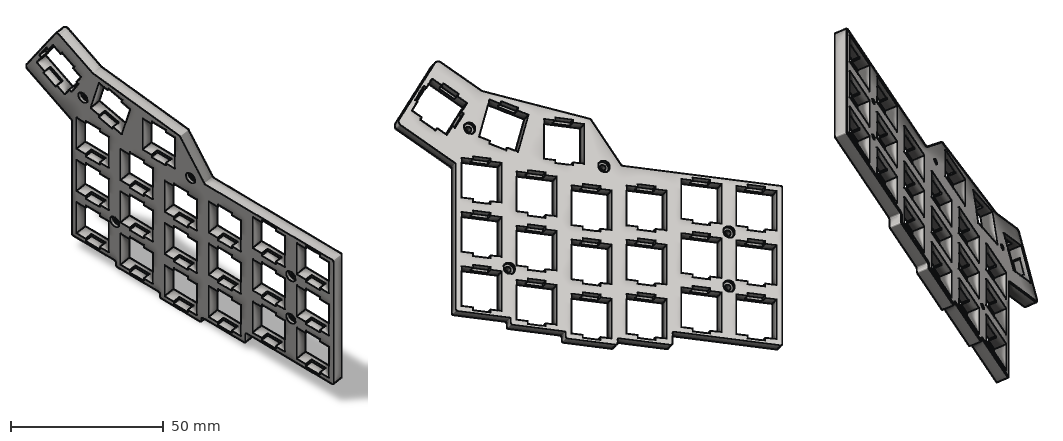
import cadquery as cq
import math

width = 132.9
height = 91.5
thickness = 4.5
back_chamfer = 0.3
corner_radius = 0.7
thumb_corner_radius = 1.5

opening = 14.0
wall = 2.0
key_half = opening / 2 + wall
columns = 6
rows = 3
column_span = 95.1
pitch = column_span / (columns - 1)
stagger = pitch / 8
stagger_steps = [2, 1, 0, 1, 3, 3]
first_column_x = width - key_half - column_span

notch_width = 6.1
notch_bite = 1.0
clip_thickness = 1.6
notch_depth = thickness - clip_thickness

inner_thumb_z = 69.1
middle_thumb = (36.4, 71.9)
middle_thumb_angle = -15
outer_thumb_angle = -30
outer_thumb_half_height = 13.8

upper_bend_x = 28.8
shoulder = (66.5, 78.1)
shoulder_foot_x = 77.2

screw_diameter = 2.0
head_diameter = 4.0
head_depth = 1.3
outer_screw = (24.6, 69.5)
middle_screw = (71.1, 62.0)


def column_x(column):
    return first_column_x + column * pitch


def column_bottom(column):
    return stagger_steps[column] * stagger


def key_z(column, row):
    return column_bottom(column) + key_half + row * pitch


def outer_thumb_center():
    """Centre that makes the rounded outer corners touch X = 0 and the overall height."""
    tilt = math.radians(-outer_thumb_angle)
    across = key_half - thumb_corner_radius
    along = outer_thumb_half_height - thumb_corner_radius
    x = thumb_corner_radius + across * math.cos(tilt) + along * math.sin(tilt)
    z = height - thumb_corner_radius - across * math.sin(tilt) - along * math.cos(tilt)
    return (x, z)


def outer_thumb_point(across, along):
    """Point given in the turned axes of the outer thumb key."""
    angle = math.radians(outer_thumb_angle)
    center_x, center_z = outer_thumb_center()
    x = center_x + across * math.cos(angle) - along * math.sin(angle)
    z = center_z + across * math.sin(angle) + along * math.cos(angle)
    return (x, z)


def thumb_edge_at(x, along):
    """Point at the given X on a long edge of the outer thumb block."""
    slope = math.tan(math.radians(outer_thumb_angle))
    edge_x, edge_z = outer_thumb_point(0, along)
    return (x, edge_z + slope * (x - edge_x))


def front_prism(sketch, depth):
    """Extrude a sketch on the XZ plane from the front face towards +Y."""
    return sketch.extrude(-depth)


def make_plate():
    plate_left = column_x(0) - key_half
    plate_top = key_z(columns - 1, rows - 1) + key_half
    step_1 = column_x(1) - key_half
    step_2 = column_x(2) - key_half
    step_3 = column_x(2) + key_half
    step_4 = column_x(3) + key_half
    outline = [
        (plate_left, column_bottom(0)),
        (step_1, column_bottom(0)),
        (step_1, column_bottom(1)),
        (step_2, column_bottom(1)),
        (step_2, column_bottom(2)),
        (step_3, column_bottom(2)),
        (step_3, column_bottom(3)),
        (step_4, column_bottom(3)),
        (step_4, column_bottom(4)),
        (width, column_bottom(5)),
        (width, plate_top),
        (shoulder_foot_x, plate_top),
        shoulder,
        thumb_edge_at(upper_bend_x, outer_thumb_half_height),
        outer_thumb_point(-key_half, outer_thumb_half_height),
        outer_thumb_point(-key_half, -outer_thumb_half_height),
        thumb_edge_at(plate_left, -outer_thumb_half_height),
    ]
    plate = front_prism(cq.Workplane("XZ").polyline(outline).close(), thickness)
    thumb_tips = "<X or >Z"
    plate = plate.edges(f"|Y exc ({thumb_tips})").fillet(corner_radius)
    plate = plate.edges(f"|Y and ({thumb_tips})").fillet(thumb_corner_radius)
    return plate.faces(">Y").chamfer(back_chamfer)


def make_opening(center, angle=0, side_notches=False):
    """Through opening with clip notches above and below, or on all four sides."""
    notched = opening + 2 * notch_bite
    base = cq.Workplane("XZ")
    cutter = front_prism(base.rect(opening, opening), thickness)
    cutter = cutter.union(front_prism(base.rect(notch_width, notched), notch_depth))
    if side_notches:
        cutter = cutter.union(front_prism(base.rect(notched, notch_width), notch_depth))
    cutter = cutter.rotate((0, 0, 0), (0, -1, 0), angle)
    return cutter.translate((center[0], 0, center[1]))


def make_screw_holes():
    left_gap = (column_x(0) + column_x(1)) / 2
    left_screw_z = (key_z(0, 0) + key_z(1, 1)) / 2
    right_gap = (column_x(4) + column_x(5)) / 2
    right_screw_z = (key_z(4, 0) + key_z(4, 1)) / 2
    centers = [
        outer_screw,
        middle_screw,
        (left_gap, left_screw_z),
        (right_gap, right_screw_z),
        (right_gap, right_screw_z + pitch),
    ]
    base = cq.Workplane("XZ").pushPoints(centers)
    shafts = front_prism(base.circle(screw_diameter / 2), thickness)
    heads = front_prism(base.circle(head_diameter / 2), head_depth)
    return shafts.union(heads)


result = make_plate()
for column in range(columns):
    for row in range(rows):
        result = result.cut(make_opening((column_x(column), key_z(column, row))))
inner_thumb_x = (column_x(1) + column_x(2)) / 2
result = result.cut(make_opening((inner_thumb_x, inner_thumb_z)))
result = result.cut(make_opening(middle_thumb, middle_thumb_angle))
result = result.cut(make_opening(outer_thumb_center(), outer_thumb_angle, side_notches=True))
result = result.cut(make_screw_holes())